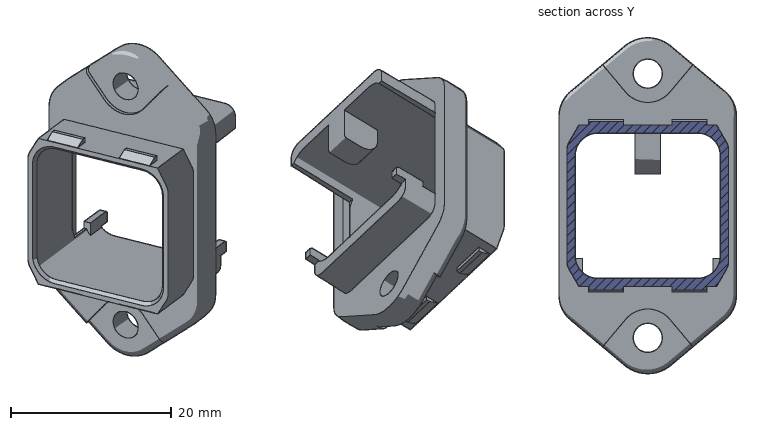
import cadquery as cq
import math


FLANGE_WIDTH = 22.2
FLANGE_HEIGHT = 42.0
FLANGE_THICKNESS = 3.95
EAR_RADIUS = 4.5
SHOULDER_RADIUS = 4.0
SLOPE_ANGLE = 40.0
FLANGE_EDGE_RADIUS = 0.8
DRAFTED_BAND = 1.0
BAND_DRAFT_ANGLE = 5.0
HOLE_DIAMETER = 3.6
HOLE_OFFSET = FLANGE_HEIGHT / 2 - EAR_RADIUS
RECESS_DEPTH = 0.5
RECESS_RADIUS = 3.6

SOCKET_SIZE = 20.2
SOCKET_REACH = 10.35
SOCKET_CUT_X = 1.5
SOCKET_CUT_Z = 2.6
SOCKET_EDGE_RADIUS = 1.75
BORE_SIZE = 18.1
BORE_RADIUS = 2.8
MOUTH_CHAMFER = 0.4

RIDGE_WIDTH = 4.4
RIDGE_SPACING = 10.4
RIDGE_HEIGHT = 0.65
RIDGE_LENGTH = 1.9
RIDGE_FLAT = 0.5
RIDGE_FRONT_LIP = 0.1

SHELL_WIDTH = 18.24
SHELL_HEIGHT = 22.05
SHELL_RADIUS = 1.55
SHELL_DRAFT = 0.13
HOOD_LENGTH = 8.45
HOOD_LOWER_EDGE = 7.95
TRAY_LENGTH = 4.65
RELIEF_DEPTH = 1.0

TONGUE_WIDTH = 3.2
TONGUE_LENGTH = 5.3
TONGUE_TIP = 3.95
TONGUE_ROUND = 2.9
TONGUE_CORNER = 0.4

ARM_INNER_X = 8.14
ARM_ROOT_TOP = -7.52
ARM_HOOK_TOP = -6.58
ARM_HOOK_BOTTOM = -8.15
ARM_HOOK_START = 1.9
ARM_HOOK_END = 6.1
ARM_CORNER = 0.3


def slab(rear_y):
    """Workplane in XZ whose extrusions run toward -Y."""
    return cq.Workplane("XZ", origin=(0, rear_y, 0))


def flange_outline():
    """Hexagon with flanks tangent to the ear arcs, before its corners are rounded."""
    slope = math.radians(SLOPE_ANGLE)
    half_width = FLANGE_WIDTH / 2
    apex = HOLE_OFFSET + EAR_RADIUS / math.cos(slope)
    shoulder = apex - half_width * math.tan(slope)
    return slab(0).polyline([
        (0, apex), (half_width, shoulder), (half_width, -shoulder),
        (0, -apex), (-half_width, -shoulder), (-half_width, shoulder),
    ]).close()


def flange_plate(thickness):
    """Flange with a rounded front rim and a drafted rear rim."""
    blank = flange_outline().extrude(thickness)
    blank = blank.edges("|Y").edges(">Z or <Z").fillet(EAR_RADIUS)
    shoulder_zone = cq.selectors.BoxSelector(
        (-FLANGE_WIDTH, -thickness, -HOLE_OFFSET),
        (FLANGE_WIDTH, 0, HOLE_OFFSET),
    )
    blank = blank.edges("|Y").edges(shoulder_zone).fillet(SHOULDER_RADIUS)
    rear_inset = DRAFTED_BAND * math.tan(math.radians(BAND_DRAFT_ANGLE))
    blank = blank.faces("<Y").edges().fillet(FLANGE_EDGE_RADIUS)
    return blank.faces(">Y").edges().chamfer(DRAFTED_BAND, rear_inset)


def ear_recess_zone():
    """Fan around the upper hole, with sides square to the ear flanks."""
    slope = math.radians(SLOPE_ANGLE)
    tangent_x = RECESS_RADIUS * math.cos(slope)
    tangent_z = HOLE_OFFSET - RECESS_RADIUS * math.sin(slope)
    reach = FLANGE_WIDTH / 2
    outer_x = tangent_x + reach * math.sin(slope)
    outer_z = tangent_z + reach * math.cos(slope)
    fan = (
        slab(0)
        .moveTo(-outer_x, outer_z)
        .lineTo(-tangent_x, tangent_z)
        .threePointArc((0, HOLE_OFFSET - RECESS_RADIUS), (tangent_x, tangent_z))
        .lineTo(outer_x, outer_z)
        .close()
    )
    return fan.extrude(FLANGE_THICKNESS)


def flange():
    """Full-thickness flange whose ears step back to a lower, equally rounded level."""
    upper_zone = ear_recess_zone()
    zones = upper_zone.union(upper_zone.mirror("XY"))
    body = flange_plate(FLANGE_THICKNESS).cut(zones)
    ears = flange_plate(FLANGE_THICKNESS - RECESS_DEPTH).intersect(zones)
    return body.union(ears)


def mounting_holes():
    centers = [(0, HOLE_OFFSET), (0, -HOLE_OFFSET)]
    return slab(0).pushPoints(centers).circle(HOLE_DIAMETER / 2).extrude(FLANGE_THICKNESS)


def socket():
    """Square sleeve with steep corner cuts blended into its sides."""
    half = SOCKET_SIZE / 2
    flat_x = half - SOCKET_CUT_X
    flat_z = half - SOCKET_CUT_Z
    sleeve = slab(0).polyline([
        (-flat_x, half), (flat_x, half), (half, flat_z), (half, -flat_z),
        (flat_x, -half), (-flat_x, -half), (-half, -flat_z), (-half, flat_z),
    ]).close().extrude(SOCKET_REACH)
    return sleeve.edges("|Y").edges("<X or >X").fillet(SOCKET_EDGE_RADIUS)


def rounded_square(size, radius):
    return cq.Sketch().rect(size, size).vertices().fillet(radius)


def bore():
    """Rounded square opening through the whole part, flared at the socket mouth."""
    throat = rounded_square(BORE_SIZE, BORE_RADIUS)
    opening = slab(HOOD_LENGTH).placeSketch(throat).extrude(HOOD_LENGTH + SOCKET_REACH)
    mouth = rounded_square(BORE_SIZE + 2 * MOUTH_CHAMFER, BORE_RADIUS + MOUTH_CHAMFER)
    mouth = mouth.moved(cq.Location(cq.Vector(0, 0, MOUTH_CHAMFER)))
    flare = slab(MOUTH_CHAMFER - SOCKET_REACH).placeSketch(throat, mouth).loft()
    return opening.union(flare)


def side_profile(points, x_min, width):
    """Prism along X from an outline given as (Y, Z) points."""
    return cq.Workplane("YZ", origin=(x_min, 0, 0)).polyline(points).close().extrude(width)


def snap_ridges():
    """Four wedge-shaped ridges near the socket mouth."""
    surface = SOCKET_SIZE / 2
    crest = surface + RIDGE_HEIGHT
    root = surface - RIDGE_HEIGHT / 2
    back = RIDGE_LENGTH - SOCKET_REACH
    front = RIDGE_FRONT_LIP - SOCKET_REACH
    outline = [(back, root), (back, crest), (back - RIDGE_FLAT, crest), (front, surface), (front, root)]
    ridges = cq.Workplane("XY")
    for center_x in (-RIDGE_SPACING / 2, RIDGE_SPACING / 2):
        ridge = side_profile(outline, center_x - RIDGE_WIDTH / 2, RIDGE_WIDTH)
        ridges = ridges.union(ridge).union(ridge.mirror("XY"))
    return ridges


def rear_shell():
    """Rounded block behind the flange whose sides converge slightly toward the rear."""
    half = SHELL_WIDTH / 2
    rear_half = half - SHELL_DRAFT
    block = (
        cq.Workplane("XY")
        .polyline([(-half, 0), (half, 0), (rear_half, HOOD_LENGTH), (-rear_half, HOOD_LENGTH)])
        .close()
        .extrude(SHELL_HEIGHT / 2, both=True)
    )
    long_edges = block.edges("(not |X) and (not |Z)")
    return long_edges.fillet(SHELL_RADIUS)


def rear_zone(length, z_min, z_max):
    """Box as wide as the shell, reaching back from the flange rear face."""
    return cq.Workplane("XY").box(
        SHELL_WIDTH, length, z_max - z_min, centered=(True, False, False)
    ).translate((0, 0, z_min))


def side_reliefs():
    """Shallow widening of the bore at the flange rear, between the tray and the hood."""
    return rear_zone(RELIEF_DEPTH, ARM_ROOT_TOP, HOOD_LOWER_EDGE).translate((0, -RELIEF_DEPTH, 0))


def arm_zone():
    """Outline of the two hooked side arms that rise from the tray."""
    bottom = -SHELL_HEIGHT / 2
    outline = [
        (ARM_HOOK_START, bottom), (TRAY_LENGTH, bottom), (TRAY_LENGTH, ARM_HOOK_BOTTOM),
        (ARM_HOOK_END, ARM_HOOK_BOTTOM), (ARM_HOOK_END, ARM_HOOK_TOP), (ARM_HOOK_START, ARM_HOOK_TOP),
    ]
    arm = side_profile(outline, ARM_INNER_X, SHELL_WIDTH / 2 - ARM_INNER_X)
    arm = arm.edges("|X").edges(">Y").edges(">Z").chamfer(ARM_CORNER)
    return arm.union(arm.mirror("YZ"))


def tongue():
    """Central latch hanging from the rear end of the hood."""
    front = HOOD_LENGTH - TONGUE_LENGTH
    root = (BORE_SIZE + SHELL_HEIGHT) / 4
    blade = side_profile(
        [(front, root), (HOOD_LENGTH, root), (HOOD_LENGTH, TONGUE_TIP), (front, TONGUE_TIP)],
        -TONGUE_WIDTH / 2,
        TONGUE_WIDTH,
    )
    tip_edges = blade.edges("|X").edges("<Z")
    blade = tip_edges.edges("<Y").fillet(TONGUE_ROUND)
    return blade.edges("|X").edges("<Z").edges(">Y").fillet(TONGUE_CORNER)


shell = rear_shell()
opening = bore()
hood = shell.intersect(rear_zone(HOOD_LENGTH, HOOD_LOWER_EDGE, SHELL_HEIGHT / 2)).cut(opening)
tray = shell.intersect(rear_zone(ARM_HOOK_START, -SHELL_HEIGHT / 2, ARM_ROOT_TOP))
tray = tray.union(shell.intersect(rear_zone(TRAY_LENGTH, -SHELL_HEIGHT / 2, ARM_HOOK_BOTTOM)))
tray = tray.cut(opening)
arms = shell.intersect(arm_zone())

front_body = flange().union(socket()).union(snap_ridges())
front_body = front_body.cut(opening).cut(side_reliefs()).cut(mounting_holes())
result = front_body.union(hood).union(tray).union(arms).union(tongue())